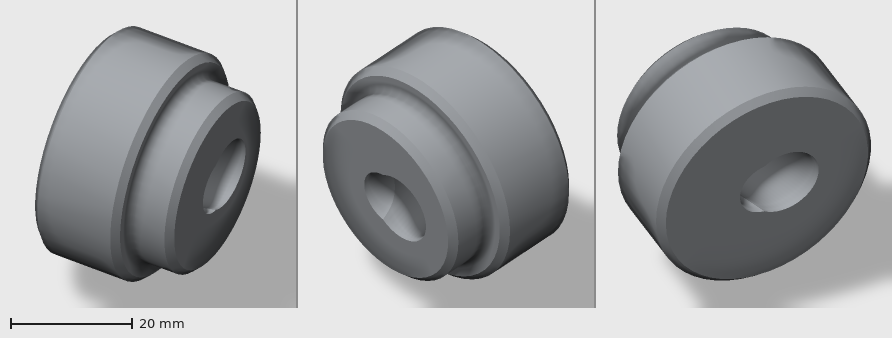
import cadquery as cq
import math

flange_radius = 20.0
flange_length = 16.0
hub_radius = 16.0
total_length = 24.0
edge_chamfer = 1.2
root_fillet = 1.2

bore_radius = 5.0
tilted_bore_radius = 6.15
tilt_angle = 15.0
tilted_bore_offset = -3.25


def stepped_body():
    """Flange and hub with chamfered rims and a filleted root."""
    corner_x = flange_length + root_fillet * (1 - math.sqrt(0.5))
    corner_radius = hub_radius + root_fillet * (1 - math.sqrt(0.5))
    profile = (
        cq.Workplane("XY")
        .lineTo(0, flange_radius - edge_chamfer)
        .lineTo(edge_chamfer, flange_radius)
        .lineTo(flange_length - edge_chamfer, flange_radius)
        .lineTo(flange_length, flange_radius - edge_chamfer)
        .lineTo(flange_length, hub_radius + root_fillet)
        .threePointArc((corner_x, corner_radius), (flange_length + root_fillet, hub_radius))
        .lineTo(total_length - edge_chamfer, hub_radius)
        .lineTo(total_length, hub_radius - edge_chamfer)
        .lineTo(total_length, 0)
        .close()
    )
    return profile.revolve(360, (0, 0, 0), (1, 0, 0))


def straight_bore():
    return cq.Workplane("YZ").circle(bore_radius).extrude(total_length)


def tilted_bore():
    """Cylinder through both end faces, drifting towards +Y as X grows."""
    angle = math.radians(tilt_angle)
    direction = cq.Vector(math.cos(angle), math.sin(angle), 0)
    start = cq.Vector(0, tilted_bore_offset, 0) - direction * total_length
    return cq.Solid.makeCylinder(tilted_bore_radius, 3 * total_length, start, direction)


result = stepped_body().cut(straight_bore()).cut(cq.Workplane(obj=tilted_bore()))